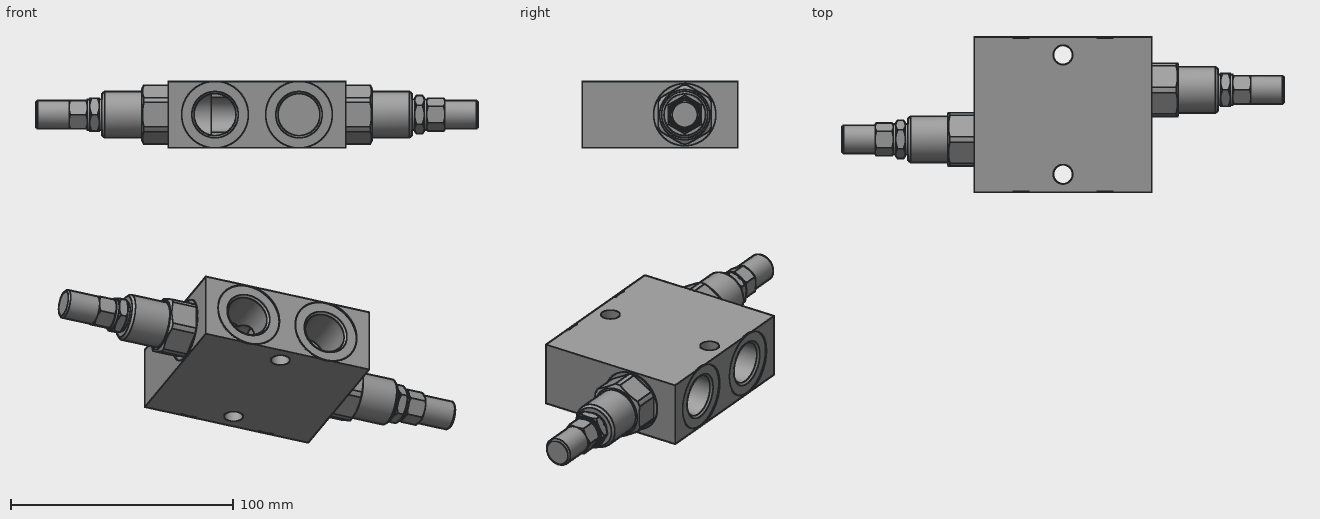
import cadquery as cq
import math


overall_length = 199.1
cartridge_length = 59.5
block_length = overall_length - 2 * cartridge_length
block_width = 70.0
overlap = 1.0

port_offset = 19.0
port_diameter = 19.0
port_mouth_diameter = 21.0
port_mouth_depth = 1.0
spotface_diameter = 30.0
spotface_depth = 0.5
block_height = spotface_diameter

mounting_diameter = 8.5
mounting_offset = 26.9

axis_offset = 11.1
seat_diameter = 28.0
seat_depth = 0.4
wide_bore_diameter = 18.7
wide_bore_depth = 19.3
narrow_bore_diameter = 15.7
narrow_bore_depth = 31.9
port_depth = block_width / 2 - axis_offset

tip_diameter = 13.0
tip_chamfer = 0.8
adjuster_start = 15.0
adjuster_end = 23.0
adjuster_flats = 13.0
adjuster_face_diameter = 13.1
adjuster_chamfer = 0.5
neck_diameter = 14.0
nut_start = 24.3
nut_end = 28.5
nut_flats = 15.0
nut_face_diameter = 15.1
nut_chamfer = 0.8
barrel_start = 29.7
barrel_diameter = 21.0
barrel_face_diameter = 18.7
barrel_chamfer = 1.2
body_hex_start = 47.5
body_hex_flats = 24.0
body_hex_corner_diameter = 26.5
body_hex_face_diameter = 22.7
body_hex_chamfer = 1.0


def cylinder_x(start, end, diameter):
    """Round bar along X."""
    return cq.Workplane("YZ").workplane(offset=start).circle(diameter / 2).extrude(end - start)


def cone_x(start, length, start_diameter, end_diameter):
    """Conical frustum along +X."""
    return cq.Workplane(
        cq.Solid.makeCone(
            start_diameter / 2, end_diameter / 2, length,
            pnt=cq.Vector(start, 0, 0), dir=cq.Vector(1, 0, 0),
        )
    )


def hexagon_x(start, end, flats, corners_on_z):
    """Hexagonal bar along X with two corners on the Z axis or on the Y axis."""
    corner_diameter = flats / math.cos(math.pi / 6)
    bar = cq.Workplane("YZ").workplane(offset=start).polygon(6, corner_diameter).extrude(end - start)
    return bar.rotate((0, 0, 0), (1, 0, 0), 90) if corners_on_z else bar


def hexagon_nut(start, end, flats, face_diameter, chamfer, corners_on_z):
    """Hexagonal bar whose corners are chamfered conically at both ends."""
    corner_diameter = flats / math.cos(math.pi / 6)
    envelope = (
        cone_x(start, chamfer, face_diameter, corner_diameter)
        .union(cylinder_x(start + chamfer, end - chamfer, corner_diameter))
        .union(cone_x(end - chamfer, chamfer, corner_diameter, face_diameter))
    )
    return hexagon_x(start, end, flats, corners_on_z).intersect(envelope)


def make_body_hex(end):
    """Large hexagon with turned-down corners and a chamfer on its outer end."""
    chamfer_end = body_hex_start + body_hex_chamfer
    envelope = cone_x(
        body_hex_start, body_hex_chamfer, body_hex_face_diameter, body_hex_corner_diameter
    ).union(cylinder_x(chamfer_end, end, body_hex_corner_diameter))
    return hexagon_x(body_hex_start, end, body_hex_flats, True).intersect(envelope)


def make_cartridge(small_corners_on_z):
    """Cartridge with its tip at X = 0, running along +X into its seat."""
    tip = cylinder_x(0, adjuster_start + overlap, tip_diameter).faces("<X").chamfer(tip_chamfer)
    adjuster = hexagon_nut(
        adjuster_start, adjuster_end, adjuster_flats,
        adjuster_face_diameter, adjuster_chamfer, small_corners_on_z,
    )
    neck = cylinder_x(adjuster_end, barrel_start + overlap, neck_diameter)
    nut = hexagon_nut(
        nut_start, nut_end, nut_flats,
        nut_face_diameter, nut_chamfer, small_corners_on_z,
    )
    barrel_nose = cone_x(barrel_start, barrel_chamfer, barrel_face_diameter, barrel_diameter)
    barrel = cylinder_x(barrel_start + barrel_chamfer, body_hex_start + overlap, barrel_diameter)
    body_hex = make_body_hex(cartridge_length + seat_depth)
    cartridge = tip
    for section in (adjuster, neck, nut, barrel_nose, barrel, body_hex):
        cartridge = cartridge.union(section)
    return cartridge


def place_left(shape):
    """Move a shape built from X = 0 onto the left cartridge axis, tip at the left end."""
    return shape.translate((-overall_length / 2, -axis_offset, 0))


def half_turn(shape):
    """Carry a left-hand or front feature to the opposite side of the block."""
    return shape.rotate((0, 0, 0), (0, 0, 1), 180)


def make_cavity():
    """Seat and stepped bore of the left cartridge."""
    face = cartridge_length
    cavity = cylinder_x(face, face + seat_depth, seat_diameter)
    cavity = cavity.union(cylinder_x(face, face + wide_bore_depth, wide_bore_diameter))
    cavity = cavity.union(cylinder_x(face, face + narrow_bore_depth, narrow_bore_diameter))
    return place_left(cavity)


def make_port(x):
    """Front port: shallow spotface, chamfered mouth and flat-bottomed hole."""
    mouth_end = spotface_depth + port_mouth_depth
    profile = [
        (0, 0),
        (spotface_diameter / 2, 0),
        (spotface_diameter / 2, spotface_depth),
        (port_mouth_diameter / 2, spotface_depth),
        (port_diameter / 2, mouth_end),
        (port_diameter / 2, port_depth),
        (0, port_depth),
    ]
    port = cq.Workplane("XY").polyline(profile).close().revolve(360, (0, 0, 0), (0, 1, 0))
    return port.translate((x, -block_width / 2, 0))


def make_block():
    """Drilled block with ports, cavities and mounting holes."""
    block = (
        cq.Workplane("XY")
        .box(block_length, block_width, block_height)
        .faces(">Z").workplane()
        .pushPoints([(0, mounting_offset), (0, -mounting_offset)])
        .hole(mounting_diameter)
    )
    for cutter in (make_port(-port_offset), make_port(port_offset), make_cavity()):
        block = block.cut(cutter).cut(half_turn(cutter))
    return block


left_cartridge = place_left(make_cartridge(small_corners_on_z=False))
right_cartridge = half_turn(place_left(make_cartridge(small_corners_on_z=True)))

result = make_block().union(left_cartridge).union(right_cartridge)